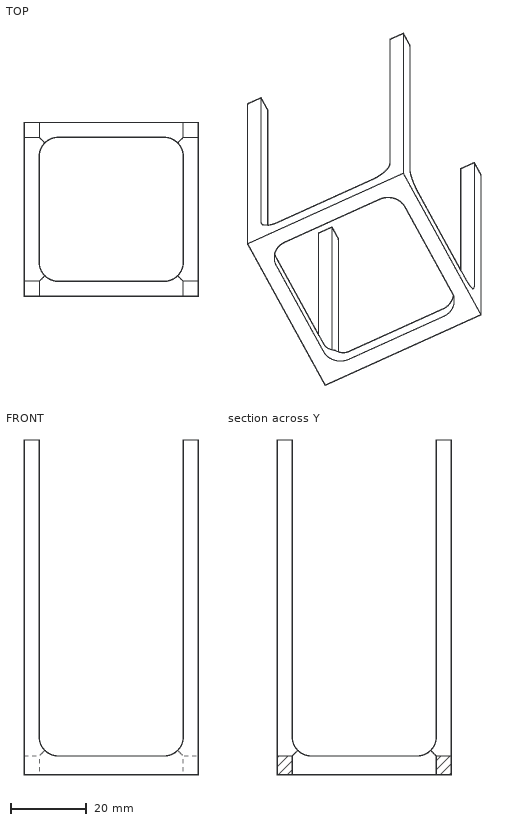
import cadquery as cq

side = 46.0
height = 88.5
leg = 4.0
base_height = 5.0
corner_radius = 5.0

opening = side - 2 * leg


def floor_opening():
    """Vertical square opening with rounded corners, through the full height."""
    return cq.Workplane("XY").rect(opening, opening).extrude(height).edges("|Z").fillet(corner_radius)


def side_window():
    """Window along Y, open at the top, with rounded lower corners."""
    return (
        cq.Workplane("XY")
        .workplane(offset=base_height)
        .rect(opening, side)
        .extrude(height - base_height)
        .edges("|Y and <Z")
        .fillet(corner_radius)
    )


def frame():
    """Square base frame with one upright leg at each corner."""
    block = cq.Workplane("XY").rect(side, side).extrude(height)
    body = block.cut(floor_opening())
    for angle in (0, 90):
        window = side_window().rotate((0, 0, 0), (0, 0, 1), angle)
        body = body.cut(window)
    return body


result = frame()